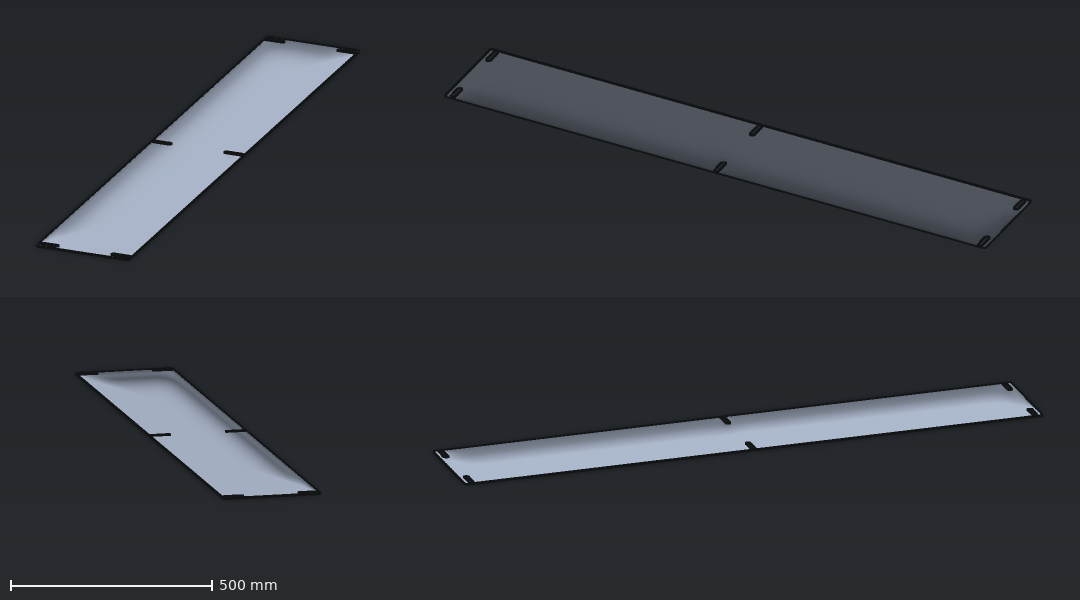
import cadquery as cq

plate_width = 247.65
plate_length = 1516.06
plate_thickness = 3.17
corner_radius = 6.35

slot_length = 50.8
slot_width = 12.7
slot_side_margin = 2.38
slot_end_margin = 11.91

slot_x = plate_width / 2 - slot_side_margin - slot_length / 2
slot_y = plate_length / 2 - slot_end_margin - slot_width / 2


def make_plate():
    plate = cq.Workplane("XY").box(plate_width, plate_length, plate_thickness)
    return plate.edges("|Z").fillet(corner_radius)


def cut_slots(plate):
    centers = [(x, y) for x in (-slot_x, slot_x) for y in (-slot_y, 0, slot_y)]
    top = plate.faces(">Z").workplane()
    return top.pushPoints(centers).slot2D(slot_length, slot_width).cutThruAll()


result = cut_slots(make_plate())